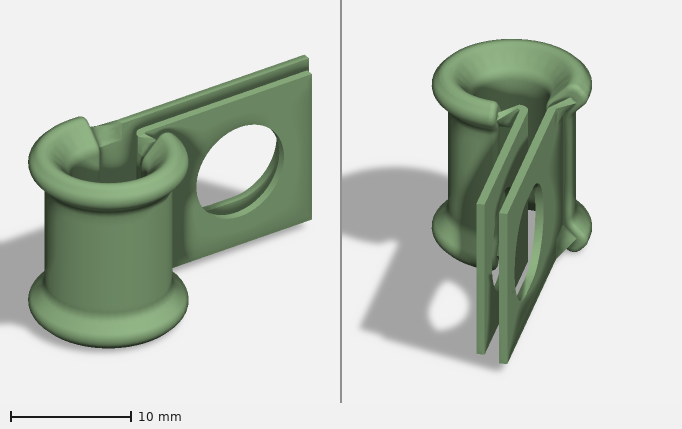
import cadquery as cq
import math

flare_angle = math.radians(45)
ring_sweep_degrees = 270
tube_outer_radius = 5.33
tube_inner_radius = 3.13
outer_flare_start = 5.05
inner_flare_start = 5.95
lip_outer_radius = 7.03
outer_bend_radius = 0.88
inner_bend_radius = 1.15
lip_outer_fillet = 0.85
lip_inner_fillet = 0.85
ring_extension = 1.4
end_fillet = 0.47
match_tolerance = 2.93e-07
mean_radius = (tube_outer_radius + tube_inner_radius) / 2

sheet_outer = 4.65
sheet_thickness = 0.7
sheet_inner = sheet_outer - sheet_thickness
strap_half_width = 7.12
long_leg_end = 22.6
short_leg_end = 21.43
short_leg_outer_x = -2.45
leg_bend_inner_radius = 0.25
leg_bend_outer_radius = leg_bend_inner_radius + sheet_thickness
bend_end_x = short_leg_outer_x + leg_bend_outer_radius

corner_start_y = 3.98
corner_fold_height = 5.25
corner_flare = 1.17

hole_y = 14.3
hole_diameter = 8.73
slot_length = 11.07


def lip_profile_points():
    """Sharp corners of the upper half of the ring section, as (radius, height)."""
    lip_outer_height = outer_flare_start + lip_outer_radius - tube_outer_radius
    end_face_sum = lip_outer_radius + lip_outer_height
    bore_line_offset = inner_flare_start - tube_inner_radius
    lip_inner_radius = (end_face_sum - bore_line_offset) / 2
    lip_inner_height = (end_face_sum + bore_line_offset) / 2
    return [
        (tube_outer_radius, outer_flare_start),
        (lip_outer_radius, lip_outer_height),
        (lip_inner_radius, lip_inner_height),
        (tube_inner_radius, inner_flare_start),
    ]


def ring_section():
    """Rounded ring section, pending in the XZ plane on the -X side of the axis."""
    upper = [(-radius, height) for radius, height in lip_profile_points()]
    lower = [(radius, -height) for radius, height in reversed(upper)]
    radii = [outer_bend_radius, lip_outer_fillet, lip_inner_fillet, inner_bend_radius]
    section = cq.Face.makeFromWires(
        cq.Workplane("XZ").polyline(upper + lower).close().val()
    )
    for (x, z), radius in zip(upper, radii):
        corners = [
            vertex for vertex in section.Vertices()
            if math.isclose(vertex.X, x, abs_tol=match_tolerance)
            and math.isclose(abs(vertex.Z), z, abs_tol=match_tolerance)
        ]
        section = section.fillet2D(radius, corners)
    return cq.Workplane("XZ").add(section.outerWire()).toPending()


def make_cushion():
    """Three-quarter ring from -X round through -Y and +X to +Y, with rounded ends."""
    straight_end = ring_section().extrude(-ring_extension)
    curved_part = ring_section().revolve(ring_sweep_degrees, (0, 0, 0), (0, 1, 0))
    cushion = curved_part.union(straight_end)
    end_faces = [
        cushion.faces(cq.selectors.NearestToPointSelector(point)).val()
        for point in ((0, mean_radius, 0), (-mean_radius, ring_extension, 0))
    ]
    end_edges = [edge for face in end_faces for edge in face.Edges()]
    return cushion.newObject(end_edges).fillet(end_fillet)


def make_legs():
    """Both strap legs, each plain up to where its corners start to flare."""
    long_leg = (
        cq.Workplane("XY")
        .moveTo(-sheet_outer, corner_start_y)
        .lineTo(-sheet_outer, long_leg_end)
        .lineTo(-sheet_inner, long_leg_end)
        .lineTo(-sheet_inner, corner_start_y)
        .close()
        .extrude(strap_half_width, both=True)
    )
    short_leg_inner_x = short_leg_outer_x + sheet_thickness
    short_leg = (
        cq.Workplane("XY")
        .moveTo(short_leg_outer_x, short_leg_end)
        .lineTo(short_leg_outer_x, sheet_inner + leg_bend_outer_radius)
        .radiusArc((bend_end_x, sheet_inner), -leg_bend_outer_radius)
        .lineTo(bend_end_x, sheet_outer)
        .radiusArc((short_leg_inner_x, sheet_outer + leg_bend_inner_radius), leg_bend_inner_radius)
        .lineTo(short_leg_inner_x, short_leg_end)
        .close()
        .extrude(strap_half_width, both=True)
    )
    slot = (
        cq.Workplane("YZ", origin=(-sheet_outer, hole_y, 0))
        .slot2D(slot_length, hole_diameter)
        .extrude(sheet_thickness)
    )
    round_hole = (
        cq.Workplane("YZ", origin=(short_leg_outer_x, hole_y, 0))
        .circle(hole_diameter / 2)
        .extrude(sheet_thickness)
    )
    return long_leg.cut(slot).union(short_leg.cut(round_hole))


def make_transition(start_y, end_y):
    """Sheet between a leg and the ring on the -X side, with corners turning out into the lips."""
    length = start_y - end_y
    middle = cq.Workplane("XY").box(
        sheet_thickness, length, 2 * corner_fold_height
    ).translate((-(sheet_outer + sheet_inner) / 2, (start_y + end_y) / 2, 0))
    inner_fold_height = corner_fold_height + sheet_thickness * math.tan(flare_angle / 2)
    thickness_shift = sheet_thickness * math.sin(flare_angle)
    flat_section = [
        (-sheet_inner, corner_fold_height),
        (-sheet_outer, corner_fold_height),
        (-sheet_outer, strap_half_width),
        (-sheet_inner, strap_half_width),
        (-sheet_inner, inner_fold_height),
    ]
    tip_x = -sheet_outer - corner_flare
    tip_height = corner_fold_height + corner_flare
    flared_section = [
        (-sheet_inner, corner_fold_height),
        (-sheet_outer, corner_fold_height),
        (tip_x, tip_height),
        (tip_x + thickness_shift, tip_height + thickness_shift),
        (-sheet_inner, inner_fold_height),
    ]
    corner = (
        cq.Workplane("XZ", origin=(0, start_y, 0))
        .polyline(flat_section).close()
        .workplane(offset=length)
        .polyline(flared_section).close()
        .loft(ruled=True)
    )
    return middle.union(corner).union(corner.mirror("XY"))


long_transition = make_transition(corner_start_y, ring_extension)
short_transition = (
    make_transition(-bend_end_x, 0)
    .mirror("XZ")
    .rotate((0, 0, 0), (0, 0, 1), -90)
)

result = (
    make_cushion()
    .union(make_legs())
    .union(long_transition)
    .union(short_transition)
)